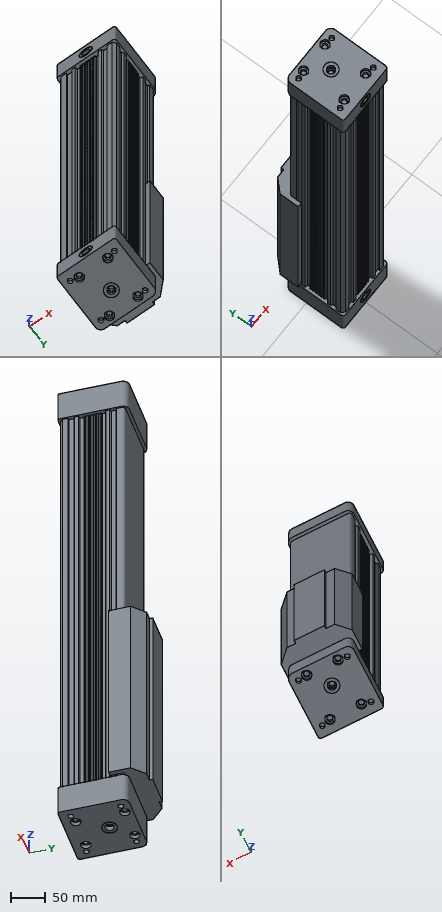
import cadquery as cq

TOTAL_LENGTH = 830.0
CAP_LENGTH = 50.0

CAP_WIDTH = 106.0
CAP_FRONT_Y = -64.0
CAP_BACK_Y = 43.0
CAP_FRONT_RADIUS = 4.0
CAP_BACK_RADIUS = 10.0

BARREL_WIDTH = 101.0
BARREL_FRONT_Y = -61.5
BARREL_BACK_Y = 38.0
BARREL_FRONT_CHAMFER = 5.0
BARREL_BACK_RADIUS = 5.0
BARREL_LENGTH = TOTAL_LENGTH - 2 * CAP_LENGTH
BARREL_CENTER_Y = (BARREL_FRONT_Y + BARREL_BACK_Y) / 2

PANEL_MOUTH_HALF = 21.0
PANEL_FLOOR_HALF = 20.0
PANEL_DEPTH = 5.0
RIDGE_BASE_HALF = 14.0
RIDGE_TOP_HALF = 13.0
RIDGE_HEIGHT = 2.5
RIB_GROOVE_COUNT = 5
RIB_GROOVE_WIDTH = 2.5
RIB_PITCH = 2 * RIB_GROOVE_WIDTH
RIB_GROOVE_DEPTH = 2.0
SIDE_GROOVE_INNER = 26.5
SIDE_GROOVE_FLOOR_INNER = 28.0
SIDE_GROOVE_OUTER = 36.5
SIDE_GROOVE_DEPTH = 3.0

PORT_FACE_DIAMETER = 23.0
PORT_FACE_DEPTH = 1.0
PORT_DIAMETER = 13.0
PORT_DEPTH = 8.0
PORT_CORE_DIAMETER = 9.0
PORT_CORE_DEPTH = 17.0
SCREW_X = 26.0
SCREW_BACK_Y = 31.0
SCREW_FRONT_Y = -44.0
SCREW_HEAD_DIAMETER = 15.0
SCREW_HEAD_DEPTH = 7.0
SCREW_CORE_DIAMETER = 9.0
SCREW_CORE_DEPTH = 13.0
TAPPED_X = 40.0
TAPPED_BACK_Y = 29.0
TAPPED_FRONT_Y = -47.0
TAPPED_DIAMETER = 8.0
TAPPED_DEPTH = 10.0

CARRIAGE_WIDTH = 116.0
CARRIAGE_BOTTOM_Z = 55.0
CARRIAGE_LENGTH = 320.0
CARRIAGE_SKIRT_Y = 16.0
CARRIAGE_BACK_Y = 68.0
CARRIAGE_CHAMFER = 19.0
PAD_WIDTH = 50.0
PAD_HEIGHT = 5.0


def box_between(width, front_y, back_y, length, bottom_z):
    """Box centred on X between two Y faces."""
    return (
        cq.Workplane("XY", origin=(0, (front_y + back_y) / 2, bottom_z))
        .rect(width, back_y - front_y)
        .extrude(length)
    )


def stepped_bore(steps):
    """Cutter entering downwards from the origin; steps are (diameter, depth)."""
    cutter = cq.Workplane("XY")
    for diameter, depth in steps:
        cutter = cutter.union(cq.Workplane("XY").circle(diameter / 2).extrude(-depth))
    return cutter


def port_bore():
    return stepped_bore(
        [
            (PORT_FACE_DIAMETER, PORT_FACE_DEPTH),
            (PORT_DIAMETER, PORT_DEPTH),
            (PORT_CORE_DIAMETER, PORT_CORE_DEPTH),
        ]
    )


def make_cap():
    """Upper end cap, with its ports, screw recesses and tapped holes."""
    cap = box_between(
        CAP_WIDTH, CAP_FRONT_Y, CAP_BACK_Y, CAP_LENGTH, TOTAL_LENGTH - CAP_LENGTH
    )
    cap = cap.edges("|Z and <Y").fillet(CAP_FRONT_RADIUS)
    cap = cap.edges("|Z and >Y").fillet(CAP_BACK_RADIUS)

    end_port = port_bore().translate((0, 0, TOTAL_LENGTH))
    front_port = (
        port_bore()
        .rotate((0, 0, 0), (1, 0, 0), 90)
        .translate((0, CAP_FRONT_Y, TOTAL_LENGTH - CAP_LENGTH / 2))
    )
    cap = cap.cut(end_port).cut(front_port)

    screw = stepped_bore(
        [
            (SCREW_HEAD_DIAMETER, SCREW_HEAD_DEPTH),
            (SCREW_CORE_DIAMETER, SCREW_CORE_DEPTH),
        ]
    )
    tapped = stepped_bore([(TAPPED_DIAMETER, TAPPED_DEPTH)])
    for side in (-1, 1):
        for y in (SCREW_FRONT_Y, SCREW_BACK_Y):
            cap = cap.cut(screw.translate((side * SCREW_X, y, TOTAL_LENGTH)))
        for y in (TAPPED_FRONT_Y, TAPPED_BACK_Y):
            cap = cap.cut(tapped.translate((side * TAPPED_X, y, TOTAL_LENGTH)))
    return cap


def face_profile_cutter():
    """Grooves for one barrel face lying on Y = 0 with its material at +Y."""
    ridge_y = PANEL_DEPTH - RIDGE_HEIGHT
    panel = (
        cq.Workplane("XY")
        .polyline(
            [
                (-PANEL_MOUTH_HALF, 0),
                (-PANEL_FLOOR_HALF, PANEL_DEPTH),
                (-RIDGE_BASE_HALF, PANEL_DEPTH),
                (-RIDGE_TOP_HALF, ridge_y),
                (RIDGE_TOP_HALF, ridge_y),
                (RIDGE_BASE_HALF, PANEL_DEPTH),
                (PANEL_FLOOR_HALF, PANEL_DEPTH),
                (PANEL_MOUTH_HALF, 0),
            ]
        )
        .close()
        .extrude(BARREL_LENGTH)
    )
    rib_bottom_y = ridge_y + RIB_GROOVE_DEPTH
    rib_grooves = (
        cq.Workplane("XY", origin=(0, rib_bottom_y / 2, 0))
        .rarray(RIB_PITCH, 8, RIB_GROOVE_COUNT, 1)
        .rect(RIB_GROOVE_WIDTH, rib_bottom_y)
        .extrude(BARREL_LENGTH)
    )
    side_groove = (
        cq.Workplane("XY")
        .polyline(
            [
                (SIDE_GROOVE_INNER, 0),
                (SIDE_GROOVE_FLOOR_INNER, SIDE_GROOVE_DEPTH),
                (SIDE_GROOVE_OUTER, SIDE_GROOVE_DEPTH),
                (SIDE_GROOVE_OUTER, 0),
            ]
        )
        .close()
        .extrude(BARREL_LENGTH)
    )
    return panel.union(rib_grooves).union(side_groove).union(side_groove.mirror("YZ"))


def barrel_blank():
    """Plain barrel outline over the length between the caps."""
    blank = box_between(
        BARREL_WIDTH, BARREL_FRONT_Y, BARREL_BACK_Y, BARREL_LENGTH, CAP_LENGTH
    )
    blank = blank.edges("|Z and <Y").chamfer(BARREL_FRONT_CHAMFER)
    return blank.edges("|Z and >Y").fillet(BARREL_BACK_RADIUS)


def make_barrel():
    barrel = barrel_blank()
    cutter = face_profile_cutter().translate((0, 0, CAP_LENGTH))
    half_width = BARREL_WIDTH / 2
    barrel = barrel.cut(cutter.translate((0, BARREL_FRONT_Y, 0)))
    for side in (-1, 1):
        side_cutter = cutter.rotate((0, 0, 0), (0, 0, 1), side * 90)
        barrel = barrel.cut(side_cutter.translate((side * half_width, BARREL_CENTER_Y, 0)))
    return barrel


def make_cylinder():
    """Barrel and its two mirrored end caps as one solid."""
    upper_cap = make_cap()
    lower_cap = upper_cap.mirror("XY", (0, 0, TOTAL_LENGTH / 2))
    return make_barrel().union(upper_cap).union(lower_cap)


def make_carriage():
    """Saddle over the back of the barrel, with a raised pad."""
    saddle = box_between(
        CARRIAGE_WIDTH, CARRIAGE_SKIRT_Y, CARRIAGE_BACK_Y, CARRIAGE_LENGTH, CARRIAGE_BOTTOM_Z
    )
    saddle = saddle.edges("|Z and >Y").chamfer(CARRIAGE_CHAMFER)
    pad = box_between(
        PAD_WIDTH, CARRIAGE_BACK_Y, CARRIAGE_BACK_Y + PAD_HEIGHT, CARRIAGE_LENGTH, CARRIAGE_BOTTOM_Z
    )
    return saddle.union(pad).cut(barrel_blank())


cylinder = make_cylinder()
carriage = make_carriage()
result = cq.Compound.makeCompound([cylinder.solids().val(), carriage.solids().val()])